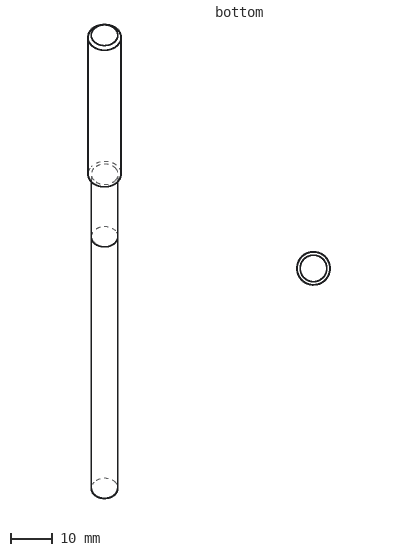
import cadquery as cq
import math

overall_length = 174.16
shank_diameter = 8.0
shank_length = 53.0
shank_chamfer = 0.8
drill_diameter = 6.4
point_angle = 140.0
cutting_length = 97.25

shank_radius = shank_diameter / 2
drill_radius = drill_diameter / 2
point_height = drill_radius / math.tan(math.radians(point_angle / 2))
shank_bottom = overall_length - shank_length


def turned(profile):
    """Revolve a closed (radius, height) outline about the Z axis."""
    return cq.Workplane("XZ").polyline(profile).close().revolve(360, (0, 0), (0, 1))


def make_cutting_section():
    """Plain cylinder ending in the conical drill point."""
    return turned([
        (0, 0),
        (drill_radius, point_height),
        (drill_radius, cutting_length),
        (0, cutting_length),
    ])


def make_shank():
    """Neck flush with the cutting section, stepping out to the chamfered shank."""
    return turned([
        (0, cutting_length),
        (drill_radius, cutting_length),
        (drill_radius, shank_bottom),
        (shank_radius, shank_bottom),
        (shank_radius, overall_length - shank_chamfer),
        (shank_radius - shank_chamfer, overall_length),
        (0, overall_length),
    ])


cutting_section = make_cutting_section()
shank = make_shank()

result = cq.Compound.makeCompound([cutting_section.val(), shank.val()])